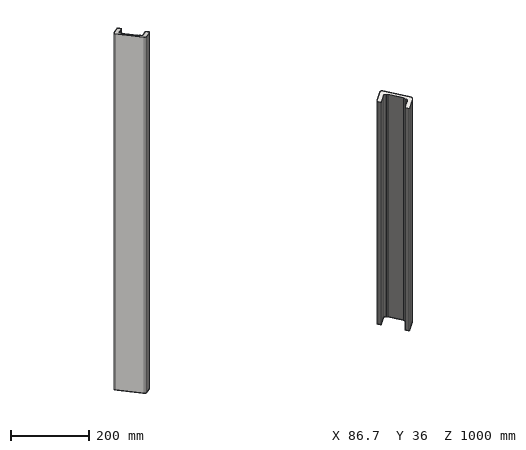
import cadquery as cq

width = 86.7
depth = 36.0
length = 1000.0

flange_thickness = 12.0
web_thickness = 7.5
shelf_width = 7.0
shelf_height = 2.0
slope_width = 4.0

outer_corner_radius = 6.0
inner_corner_radius = 4.0
outer_tip_radius = 3.0
inner_tip_radius = 2.0

half_width = width / 2
inner_half_width = half_width - flange_thickness
shelf_end_x = inner_half_width - shelf_width
slope_end_x = shelf_end_x - slope_width
web_outer_y = -depth / 2
web_inner_y = web_outer_y + web_thickness
shelf_y = web_inner_y + shelf_height
tip_y = depth / 2


def channel_blank():
    """Sharp-cornered U section, opening towards +Y, with a shelf sloping down to the web at each flange."""
    right_half = [
        (half_width, web_outer_y),
        (half_width, tip_y),
        (inner_half_width, tip_y),
        (inner_half_width, shelf_y),
        (shelf_end_x, shelf_y),
        (slope_end_x, web_inner_y),
    ]
    left_half = [(-x, y) for x, y in reversed(right_half)]
    return cq.Workplane("XY").polyline(right_half + left_half).close().extrude(length)


def round_long_edges(body, x, y, radius):
    """Fillet the pair of lengthwise edges at (-x, y) and (x, y)."""
    mid_length = length / 2
    left_edge = body.edges(cq.selectors.NearestToPointSelector((-x, y, mid_length)))
    right_edge = body.edges(cq.selectors.NearestToPointSelector((x, y, mid_length)))
    return left_edge.add(right_edge).fillet(radius)


channel = channel_blank()
channel = round_long_edges(channel, half_width, web_outer_y, outer_corner_radius)
channel = round_long_edges(channel, inner_half_width, shelf_y, inner_corner_radius)
channel = round_long_edges(channel, half_width, tip_y, outer_tip_radius)
channel = round_long_edges(channel, inner_half_width, tip_y, inner_tip_radius)

result = channel